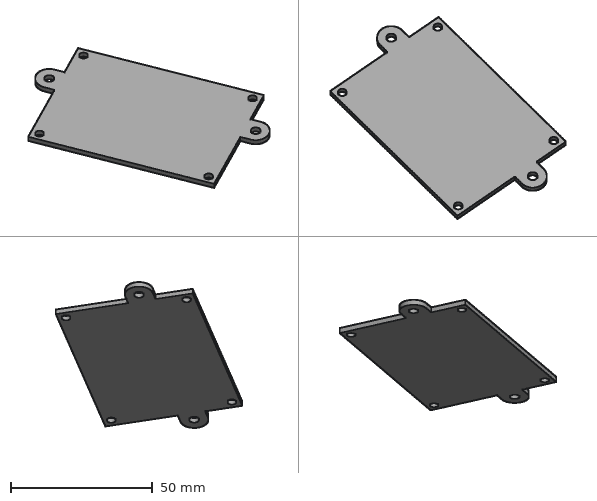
import cadquery as cq

overall_length = 88.0
plate_length = 70.2
plate_width = 50.0
thickness = 2.0

ear_width = 10.0
ear_offset_y = 6.4
ear_hole_diameter = 3.4
ear_spacing = overall_length - ear_width

corner_hole_diameter = 3.1
corner_hole_inset_x = 3.2
corner_hole_inset_y = 3.0
corner_spacing_x = plate_length - 2 * corner_hole_inset_x
corner_spacing_y = plate_width - 2 * corner_hole_inset_y


def make_plate():
    return cq.Workplane("XY").rect(plate_length, plate_width).extrude(thickness)


def make_ears():
    """One long slot shape whose rounded ends stick out as the ears."""
    return (
        cq.Workplane("XY")
        .center(0, ear_offset_y)
        .slot2D(overall_length, ear_width)
        .extrude(thickness)
    )


def make_ear_holes():
    return (
        cq.Workplane("XY")
        .center(0, ear_offset_y)
        .pushPoints([(-ear_spacing / 2, 0), (ear_spacing / 2, 0)])
        .circle(ear_hole_diameter / 2)
        .extrude(thickness)
    )


def make_corner_holes():
    return (
        cq.Workplane("XY")
        .rect(corner_spacing_x, corner_spacing_y, forConstruction=True)
        .vertices()
        .circle(corner_hole_diameter / 2)
        .extrude(thickness)
    )


body = make_plate().union(make_ears())
result = body.cut(make_ear_holes()).cut(make_corner_holes())